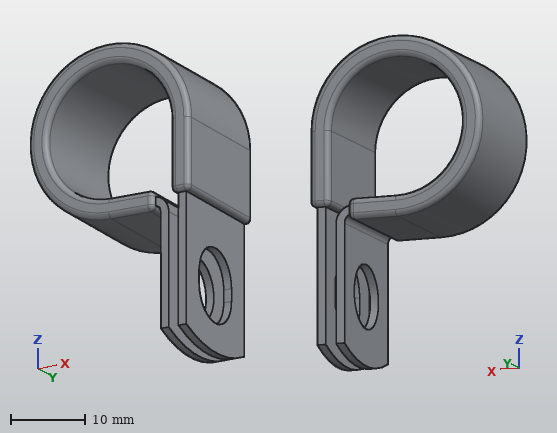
import cadquery as cq

height = 43.2
loop_diameter = 24.65
cushion_width = 17.45
cushion_thickness = 2.8
strip_thickness = 1.2
upright_cushion_length = 10.32
lower_cushion_length = 6.83
inner_tab_face = 8.8
hole_diameter = 8.8
slot_length = 10.63
hole_drop = 21.4
tab_end_sagitta = 1.73

outer_radius = loop_diameter / 2
inner_radius = outer_radius - cushion_thickness
cover = (cushion_thickness - strip_thickness) / 2
strip_width = cushion_width - 2 * cover
strip_inner_radius = inner_radius + cover
strip_outer_radius = outer_radius - cover
bend_inner_radius = strip_thickness
bend_outer_radius = bend_inner_radius + strip_thickness
bend_start = inner_tab_face - bend_outer_radius
tab_bottom = outer_radius - height
tab_corner = tab_bottom + tab_end_sagitta
edge_radius = 0.78
diagonal = 0.5 ** 0.5


def make_cushion():
    """Three-quarter loop with two straight legs, rounded on every edge."""
    return (
        cq.Workplane("XZ")
        .moveTo(outer_radius, -upright_cushion_length)
        .lineTo(outer_radius, 0)
        .threePointArc((-outer_radius * diagonal, outer_radius * diagonal), (0, -outer_radius))
        .lineTo(lower_cushion_length, -outer_radius)
        .lineTo(lower_cushion_length, -inner_radius)
        .lineTo(0, -inner_radius)
        .threePointArc((-inner_radius * diagonal, inner_radius * diagonal), (inner_radius, 0))
        .lineTo(inner_radius, -upright_cushion_length)
        .close()
        .extrude(cushion_width / 2, both=True)
        .edges()
        .fillet(edge_radius)
    )


def make_outer_tab():
    """Flat strip that continues straight down from the upright leg."""
    return (
        cq.Workplane("XZ")
        .moveTo(strip_inner_radius, 0)
        .lineTo(strip_outer_radius, 0)
        .lineTo(strip_outer_radius, tab_bottom)
        .lineTo(strip_inner_radius, tab_bottom)
        .close()
        .extrude(strip_width / 2, both=True)
    )


def make_inner_tab():
    """Strip that leaves the lower leg and bends down beside the outer tab."""
    bend_bottom = -strip_inner_radius - bend_outer_radius
    return (
        cq.Workplane("XZ")
        .moveTo(0, -strip_inner_radius)
        .lineTo(bend_start, -strip_inner_radius)
        .radiusArc((inner_tab_face, bend_bottom), bend_outer_radius)
        .lineTo(inner_tab_face, tab_bottom)
        .lineTo(inner_tab_face - strip_thickness, tab_bottom)
        .lineTo(inner_tab_face - strip_thickness, bend_bottom)
        .radiusArc((bend_start, -strip_outer_radius), -bend_inner_radius)
        .lineTo(0, -strip_outer_radius)
        .close()
        .extrude(strip_width / 2, both=True)
    )


def make_tab_outline():
    """Prism along X that rounds the tab ends."""
    return (
        cq.Workplane("YZ")
        .moveTo(-strip_width / 2, 0)
        .lineTo(-strip_width / 2, tab_corner)
        .threePointArc((0, tab_bottom), (strip_width / 2, tab_corner))
        .lineTo(strip_width / 2, 0)
        .close()
        .extrude(outer_radius)
    )


def make_screw_hole():
    """Round hole along X, long enough to pass through the inner tab."""
    return (
        cq.Workplane("YZ")
        .center(0, -hole_drop)
        .circle(hole_diameter / 2)
        .extrude(inner_tab_face)
    )


def make_screw_slot():
    """Upright slot along X, starting at the inner tab and passing through the outer tab."""
    return (
        cq.Workplane("YZ", origin=(inner_tab_face, 0, -hole_drop))
        .slot2D(slot_length, hole_diameter, 90)
        .extrude(outer_radius - inner_tab_face)
    )


tabs = make_outer_tab().union(make_inner_tab()).intersect(make_tab_outline())
tabs = tabs.cut(make_screw_hole()).cut(make_screw_slot())
result = make_cushion().union(tabs)